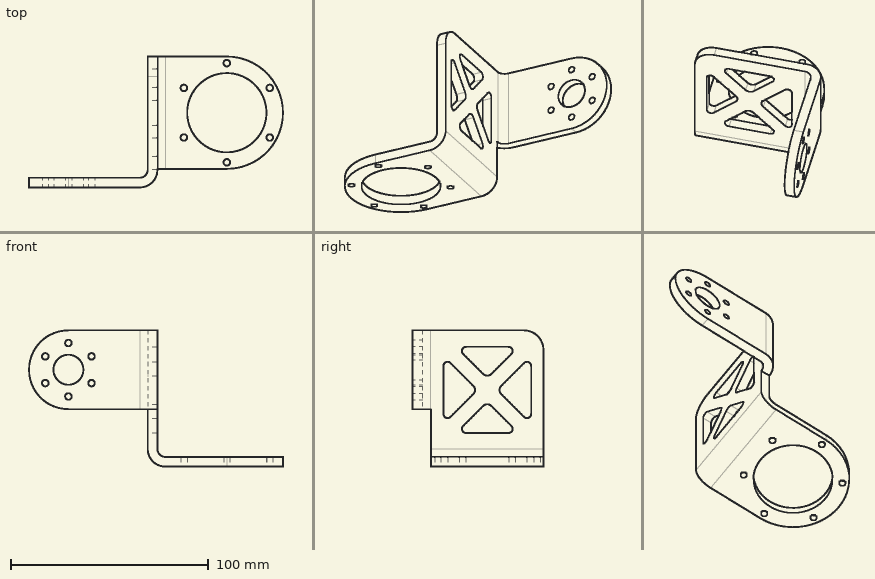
import cadquery as cq

length = 128.5
depth = 66.3
height = 69.0

thickness = 5.0
bend_outer_radius = 9.0
bend_inner_radius = bend_outer_radius - thickness

wall_right = 65.0
wall_left = wall_right - thickness
wall_width = 56.9
wall_front = depth - wall_width
wall_corner_radius = 10.0

front_flange_height = 40.0
front_flange_radius = front_flange_height / 2
front_bore_diameter = 15.0
front_bolt_radius = 13.5

bottom_flange_radius = wall_width / 2
bottom_bore_diameter = 40.0
bottom_bolt_radius = 25.0

bolt_count = 6
first_bolt_angle = 30
bolt_hole_diameter = 3.2

window_center_y = depth - wall_width / 2
window_center_z = 38.8
window_half_width = 22.1
window_half_height = 21.7
side_apex_distance = 5.0
end_apex_distance = 6.0
window_corner_radius = 2.0
window_tip_radius = 3.0


def bent_strip(plane, flange_end, wall_end, width):
    """L-shaped strip with its outer corner at the plane origin and a rounded bend there."""
    flange_far = flange_end - bend_outer_radius
    wall_far = wall_end - bend_outer_radius
    return (
        cq.Workplane(plane)
        .moveTo(bend_outer_radius, 0)
        .hLine(flange_far)
        .vLine(thickness)
        .hLine(-flange_far)
        .radiusArc((thickness, bend_outer_radius), bend_inner_radius)
        .vLine(wall_far)
        .hLine(-thickness)
        .vLine(-wall_far)
        .radiusArc((bend_outer_radius, 0), -bend_outer_radius)
        .close()
        .extrude(width)
    )


def round_ended_blank(plane, width, reach):
    """Strip outline rounded at the plane origin and running along +x; one thickness deep."""
    disc = cq.Workplane(plane).circle(width / 2).extrude(thickness)
    strip = cq.Workplane(plane).center(reach / 2, 0).rect(reach, width).extrude(thickness)
    return disc.union(strip)


def flange_holes(plane, bore_diameter, bolt_radius):
    """Bore and bolt circle cutters reaching through one sheet thickness."""
    bore = cq.Workplane(plane).circle(bore_diameter / 2).extrude(thickness)
    bolts = (
        cq.Workplane(plane)
        .polarArray(bolt_radius, first_bolt_angle, 360, bolt_count)
        .circle(bolt_hole_diameter / 2)
        .extrude(thickness)
    )
    return bore.union(bolts)


def window(apex_distance, base_distance, turn):
    """Triangular cutter with 45 degree sides, pointing at the window centre."""
    half_base = base_distance - apex_distance
    triangle = (
        cq.Workplane("YZ", origin=(wall_left, 0, 0))
        .polyline([(apex_distance, 0), (base_distance, half_base), (base_distance, -half_base)])
        .close()
        .extrude(thickness)
    )
    triangle = triangle.edges("|X and <Y").fillet(window_tip_radius)
    triangle = triangle.faces(">Y").edges("|X").fillet(window_corner_radius)
    return triangle.rotate((0, 0, 0), (1, 0, 0), turn).translate((0, window_center_y, window_center_z))


bottom_bore_x = length - bottom_flange_radius
front_bore_z = height - front_flange_radius
bottom_bore_plane = cq.Plane(origin=(bottom_bore_x, window_center_y, 0), xDir=(-1, 0, 0), normal=(0, 0, 1))
front_bore_plane = cq.Plane(
    origin=(front_flange_radius, thickness, front_bore_z), xDir=(1, 0, 0), normal=(0, -1, 0)
)

wall_plane = cq.Plane(origin=(wall_left, depth, 0), xDir=(1, 0, 0), normal=(0, -1, 0))
wall = bent_strip(wall_plane, bottom_bore_x - wall_left, height, wall_width)
wall = wall.edges("|X and >Y and >Z").fillet(wall_corner_radius)
bottom_reach = bottom_bore_x - wall_left - bend_outer_radius
bottom_flange = round_ended_blank(bottom_bore_plane, wall_width, bottom_reach)

front_plane = cq.Plane(origin=(wall_right, 0, height), xDir=(-1, 0, 0), normal=(0, 0, -1))
front_bend = bent_strip(front_plane, wall_right - front_flange_radius, wall_front, front_flange_height)
front_reach = wall_right - bend_outer_radius - front_flange_radius
front_flange = round_ended_blank(front_bore_plane, front_flange_height, front_reach)

result = wall.union(bottom_flange).union(front_bend).union(front_flange)

result = result.cut(flange_holes(bottom_bore_plane, bottom_bore_diameter, bottom_bolt_radius))
result = result.cut(flange_holes(front_bore_plane, front_bore_diameter, front_bolt_radius))

for side_turn in (0, 180):
    result = result.cut(window(side_apex_distance, window_half_width, side_turn))
    result = result.cut(window(end_apex_distance, window_half_height, side_turn + 90))